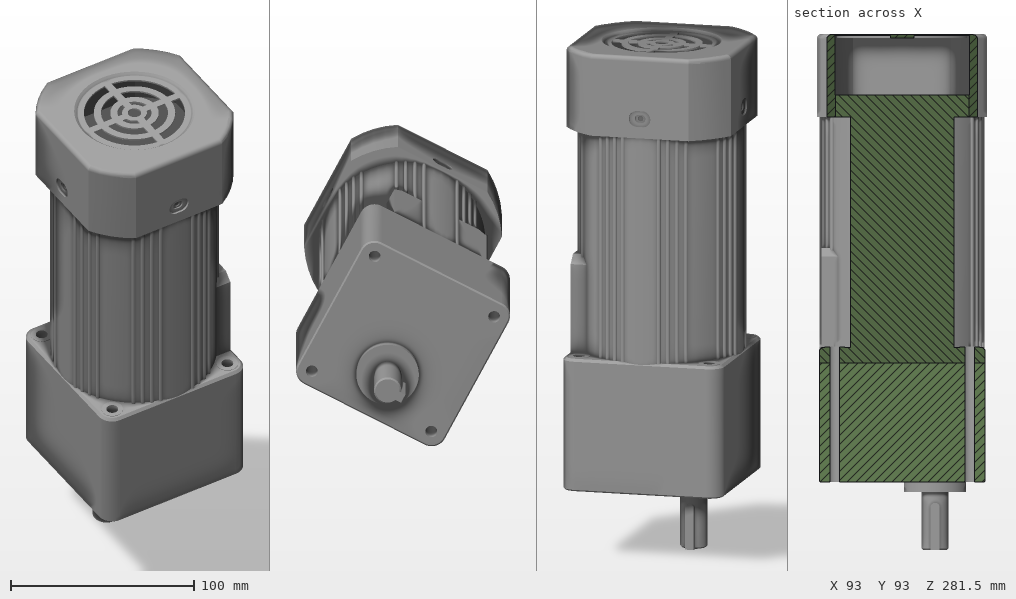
import cadquery as cq
import math

QUARTER_TURN = 90.0

BOSS_BOTTOM = 31.5
GEARBOX_BOTTOM = 37.0
FLANGE_BOTTOM = 102.2
FLANGE_TOP = 110.5
COVER_BOTTOM = 236.2
END_SHIELD_TOP = 248.3
COVER_TOP = 281.5

GEARBOX_SIDE = 90.6
GEARBOX_CORNER_RADIUS = 8.2
GEARBOX_EDGE_CHAMFER = 0.8
SHAFT_OFFSET = 18.0
BOSS_DIAMETER = 34.0
SHAFT_DIAMETER = 15.0
SHAFT_CHAMFER = 0.8
KEY_WIDTH = 5.0
KEY_LENGTH = 25.5
KEY_OUTER_REACH = 9.5

SCREW_CIRCLE_RADIUS = 52.0
SCREW_SPACING = SCREW_CIRCLE_RADIUS * math.sqrt(2)
SCREW_HOLE_DIAMETER = 6.5
SCREW_PAD_DIAMETER = 11.8
SCREW_PAD_HEIGHT = 0.3
FLANGE_EDGE_CHAMFER = 1.5

HOUSING_RADIUS = 45.0
RIB_RADIUS = 1.0
FIRST_RIB_ANGLE = 13.0
RIB_ANGLE_STEP = 6.4
RIBS_PER_GROUP = 4

TERMINAL_WIDTH = 57.0
TERMINAL_REACH = 44.0
TERMINAL_TOP = 164.7
TERMINAL_CHAMFER = 4.8

COVER_SIDE = 93.0
COVER_CORNER_RADIUS = 54.0
COVER_EDGE_FILLET = 2.5
COVER_WALL = 3.5
COVER_SKIN = 0.99
RECESS_TOP_RADIUS = 33.0
RECESS_FLOOR_RADIUS = 31.2
RECESS_DEPTH = 1.5
RECESS_UNDERSIDE_RADIUS = 35.5
VENT_RINGS = ((6.8, 9.3), (13.2, 18.3), (22.2, 27.5))
SPOKE_WIDTH = 4.2
HUB_HOLE_RADIUS = 3.7
SIDE_POCKET_HEIGHT_POSITION = 247.0
SIDE_POCKET_LENGTH = 12.0
SIDE_POCKET_WIDTH = 9.0
SIDE_POCKET_DEPTH = 1.0
SIDE_HOLE_LENGTH = 6.0
SIDE_HOLE_WIDTH = 4.5
SIDE_HOLE_DEPTH = 2.0
SIDE_BORE_DIAMETER = 3.0
SIDE_BORE_DEPTH = 2.8


def block(side, bottom, top):
    """Square block centred on the axis."""
    return cq.Workplane("XY").workplane(offset=bottom).rect(side, side).extrude(top - bottom)


def cylinder(radius, bottom, top):
    """Round bar centred on the axis."""
    return cq.Workplane("XY").workplane(offset=bottom).circle(radius).extrude(top - bottom)


def corner_cylinders(diameter, bottom, top):
    """Four round bars at the corner screw positions."""
    return (
        cq.Workplane("XY")
        .workplane(offset=bottom)
        .rect(SCREW_SPACING, SCREW_SPACING, forConstruction=True)
        .vertices()
        .circle(diameter / 2)
        .extrude(top - bottom)
    )


def cover_outline(inset, bottom, top):
    """Square with round corners centred on the axis, moved in from the outside of the cover."""
    square = block(COVER_SIDE - 2 * inset, bottom, top)
    return square.intersect(cylinder(COVER_CORNER_RADIUS - inset, bottom, top))


def make_output_shaft():
    """Shaft with the boss around it and a key that is round at its inner end."""
    boss = cylinder(BOSS_DIAMETER / 2, BOSS_BOTTOM, GEARBOX_BOTTOM)
    shaft = cylinder(SHAFT_DIAMETER / 2, 0, GEARBOX_BOTTOM).faces("<Z").chamfer(SHAFT_CHAMFER)
    key_half = KEY_WIDTH / 2
    key = (
        cq.Workplane("YZ")
        .moveTo(-key_half, 0)
        .lineTo(-key_half, KEY_LENGTH - key_half)
        .threePointArc((0, KEY_LENGTH), (key_half, KEY_LENGTH - key_half))
        .lineTo(key_half, 0)
        .close()
        .extrude(-KEY_OUTER_REACH)
    )
    return boss.union(shaft).union(key).translate((0, -SHAFT_OFFSET, 0))


def make_gearbox():
    """Square gearbox with its screw holes and output shaft."""
    body = block(GEARBOX_SIDE, GEARBOX_BOTTOM, FLANGE_BOTTOM)
    body = body.edges("|Z").fillet(GEARBOX_CORNER_RADIUS)
    body = body.faces("<Z").chamfer(GEARBOX_EDGE_CHAMFER)
    body = body.cut(corner_cylinders(SCREW_HOLE_DIAMETER, GEARBOX_BOTTOM, FLANGE_BOTTOM))
    return body.union(make_output_shaft())


def make_flange():
    """Mounting flange of the motor, with a raised pad around each screw hole."""
    flange = block(GEARBOX_SIDE, FLANGE_BOTTOM, FLANGE_TOP)
    flange = flange.edges("|Z").fillet(GEARBOX_CORNER_RADIUS)
    flange = flange.faces(">Z").chamfer(FLANGE_EDGE_CHAMFER)
    pad_top = FLANGE_TOP + SCREW_PAD_HEIGHT
    flange = flange.union(corner_cylinders(SCREW_PAD_DIAMETER, FLANGE_BOTTOM, pad_top))
    return flange.cut(corner_cylinders(SCREW_HOLE_DIAMETER, FLANGE_BOTTOM, pad_top))


def make_rib(angle):
    """Round bar centred on the housing surface, so that half of it stands out as a rib."""
    rib = cylinder(RIB_RADIUS, FLANGE_TOP, COVER_BOTTOM).translate((HOUSING_RADIUS, 0, 0))
    return rib.rotate((0, 0, 0), (0, 0, 1), angle)


def make_housing():
    """Ribbed barrel; in each quarter the ribs mirror about the diagonal."""
    housing = cylinder(HOUSING_RADIUS, FLANGE_BOTTOM, COVER_BOTTOM)
    for quarter in range(4):
        for position in range(RIBS_PER_GROUP):
            angle = FIRST_RIB_ANGLE + position * RIB_ANGLE_STEP
            for mirrored in (angle, QUARTER_TURN - angle):
                housing = housing.union(make_rib(quarter * QUARTER_TURN + mirrored))
    return housing


def make_end_shield():
    """Block on the housing that fills the open end of the fan cover."""
    return cover_outline(COVER_WALL, COVER_BOTTOM, END_SHIELD_TOP)


def make_terminal_box():
    """Box against the +Y side of the housing, chamfered along its two upper side edges."""
    height = TERMINAL_TOP - FLANGE_BOTTOM
    box = (
        cq.Workplane("XY")
        .workplane(offset=FLANGE_BOTTOM)
        .center(0, TERMINAL_REACH / 2)
        .rect(TERMINAL_WIDTH, TERMINAL_REACH)
        .extrude(height)
    )
    return box.faces(">Z").edges("|Y").chamfer(TERMINAL_CHAMFER)


def make_motor():
    """Flange, housing, terminal box and end shield as one casting."""
    return make_flange().union(make_housing()).union(make_terminal_box()).union(make_end_shield())


def make_vents(bottom, top):
    """Ring-shaped slots, interrupted by a cross of spokes, and the hole at the hub."""
    thickness = top - bottom
    spoke = cq.Workplane("XY").workplane(offset=bottom).rect(COVER_SIDE, SPOKE_WIDTH).extrude(thickness)
    spokes = spoke.union(spoke.rotate((0, 0, 0), (0, 0, 1), QUARTER_TURN))
    vents = cylinder(HUB_HOLE_RADIUS, bottom, top)
    for inner, outer in VENT_RINGS:
        ring = cylinder(outer, bottom, top).cut(cylinder(inner, bottom, top))
        vents = vents.union(ring.cut(spokes))
    return vents


def side_pockets():
    """Stepped recess cutters, oblong outside and round inside, one for each side of the cover."""
    plane = cq.Workplane("XZ", origin=(0, -COVER_SIDE / 2, SIDE_POCKET_HEIGHT_POSITION))
    pocket = plane.slot2D(SIDE_POCKET_LENGTH, SIDE_POCKET_WIDTH).extrude(-SIDE_POCKET_DEPTH)
    hole = plane.slot2D(SIDE_HOLE_LENGTH, SIDE_HOLE_WIDTH).extrude(-SIDE_HOLE_DEPTH)
    bore = plane.circle(SIDE_BORE_DIAMETER / 2).extrude(-SIDE_BORE_DEPTH)
    cutter = pocket.union(hole).union(bore)
    return [cutter.rotate((0, 0, 0), (0, 0, 1), quarter * QUARTER_TURN) for quarter in range(4)]


def make_grille_recess():
    """Shallow recess with a sloping wall in the top of the cover."""
    return (
        cq.Workplane("XY")
        .workplane(offset=COVER_TOP - RECESS_DEPTH)
        .circle(RECESS_FLOOR_RADIUS)
        .workplane(offset=RECESS_DEPTH)
        .circle(RECESS_TOP_RADIUS)
        .loft()
    )


def make_fan_cover():
    """Shell, open at the bottom, with a sunken grille of even thickness in its top."""
    grille_top = COVER_TOP - RECESS_DEPTH
    grille_bottom = grille_top - COVER_SKIN
    cavity_top = COVER_TOP - COVER_SKIN

    shell = cover_outline(0, COVER_BOTTOM, COVER_TOP)
    shell = shell.faces(">Z").edges().fillet(COVER_EDGE_FILLET)
    cavity = cover_outline(COVER_WALL, COVER_BOTTOM, cavity_top)
    cavity = cavity.cut(cylinder(RECESS_UNDERSIDE_RADIUS, grille_bottom, cavity_top))
    cover = shell.cut(cavity)
    cover = cover.cut(make_grille_recess()).cut(make_vents(grille_bottom, grille_top))
    for pocket in side_pockets():
        cover = cover.cut(pocket)
    return cover


gearbox = make_gearbox()
motor = make_motor()
fan_cover = make_fan_cover()

result = cq.Compound.makeCompound([gearbox.val(), motor.val(), fan_cover.val()])